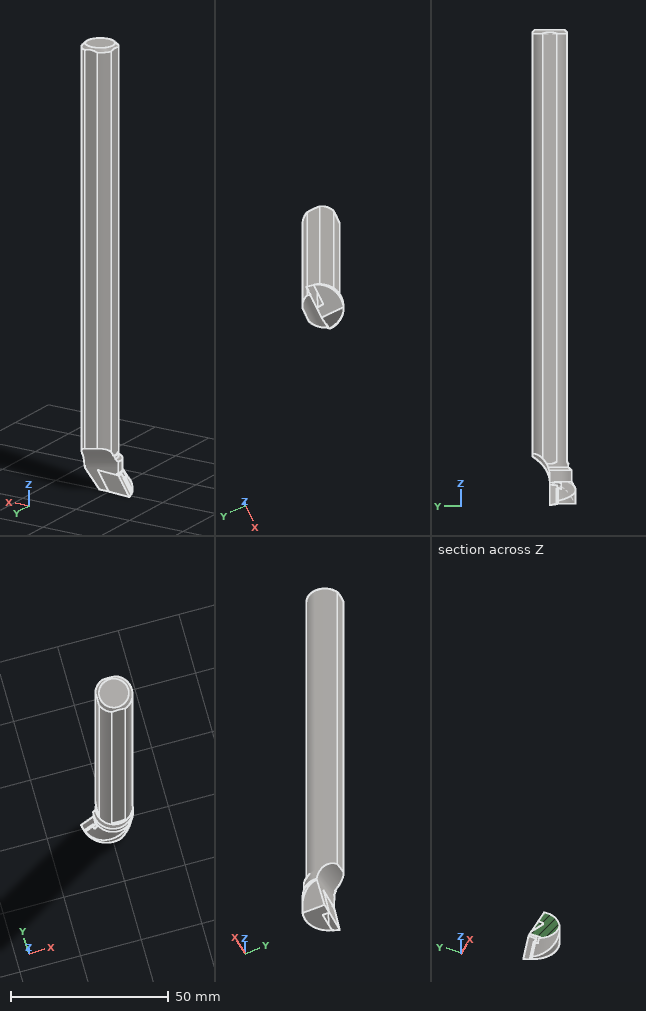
import cadquery as cq
import math

total_length = 151.2
shank_radius = 5.97
flats_across = 11.0
flat_distance = flats_across / 2
end_chamfer = 1.2
collar_bottom = 12.1
flat_end = 13.9
flat_tongue = 0.8

neck_radius = 6.43
neck_center = (shank_radius - neck_radius, -0.6)
neck_top = 11.2
neck_bottom = 7.4
neck_flat_x = -6.8
neck_flat_depth = 2.9

head_bottom = 0.5
flare_radius = 10.6
envelope_diameter = 16.5
envelope_x = -2.4
heel_start = 7.1
heel_end_x = 0.3

gullet_radius = 8.3
gullet_height = 8.0
gullet_tilt = 11.0

tip_x = -10.9
insert_side = 7.7
tip_angle = 55.0
edge_lead = 3.0
insert_thickness = 2.4
clearance_angle = 7.0
pocket_top = 6.4
pocket_clearance = 0.3
corner_hole_diameter = 2.1
corner_hole_depth = 3.6
corner_hole_drop = 0.5

reach = 45.4


def block(x_range, y_range, z_range):
    """Axis-aligned box between the given limits."""
    size = [high - low for low, high in (x_range, y_range, z_range)]
    corner = (x_range[0], y_range[0], z_range[0])
    return cq.Workplane("XY").box(*size, centered=False).translate(corner)


def make_shank():
    """Round bar with flats on its -Y, -X and +Y sides, each rounded at its lower end."""
    bar = cq.Workplane("XY").workplane(offset=collar_bottom).circle(shank_radius)
    bar = bar.extrude(total_length - collar_bottom).faces(">Z").chamfer(end_chamfer)
    half_width = math.sqrt(shank_radius**2 - flat_distance**2)
    flat_tool = (
        cq.Workplane("XZ", origin=(0, -flat_distance, 0))
        .moveTo(-half_width, flat_end)
        .threePointArc((0, flat_end - flat_tongue), (half_width, flat_end))
        .lineTo(half_width, total_length)
        .lineTo(-half_width, total_length)
        .close()
        .extrude(shank_radius)
    )
    for angle in (-180, -90, 0):
        bar = bar.cut(flat_tool.rotate((0, 0, 0), (0, 0, 1), angle))
    return bar


def loft_circles(lower_center, lower_radius, lower_z, upper_center, upper_radius, upper_z):
    """Cone frustum between two horizontal circles."""
    lower = cq.Wire.makeCircle(lower_radius, cq.Vector(*lower_center, lower_z), cq.Vector(0, 0, 1))
    upper = cq.Wire.makeCircle(upper_radius, cq.Vector(*upper_center, upper_z), cq.Vector(0, 0, 1))
    return cq.Workplane("XY").add(cq.Solid.makeLoft([lower, upper], True))


def make_head():
    """Neck and flared head, trimmed by a round envelope and a heel relief."""
    shoulder = loft_circles(neck_center, neck_radius, neck_top, (0, 0), shank_radius, collar_bottom)
    neck = cq.Workplane("XY").workplane(offset=neck_bottom).center(*neck_center)
    neck = neck.circle(neck_radius).extrude(neck_top - neck_bottom)
    flare = loft_circles(neck_center, flare_radius, head_bottom, neck_center, neck_radius, neck_bottom)
    envelope = cq.Workplane("XY").center(envelope_x, 0).circle(envelope_diameter / 2).extrude(neck_bottom)
    flare = flare.intersect(envelope)
    head = shoulder.union(neck).union(flare)
    heel = (
        cq.Workplane("XZ")
        .moveTo(heel_end_x, head_bottom)
        .lineTo(shank_radius, heel_start)
        .lineTo(reach, heel_start)
        .lineTo(reach, head_bottom)
        .close()
        .extrude(reach, both=True)
    )
    neck_flat = block((-reach, neck_flat_x), (-neck_flat_depth, reach), (pocket_top, neck_top))
    return head.cut(heel).cut(neck_flat)


def make_gullet():
    """Tool that opens the rake face and its arc run-out into the shank."""
    tool = (
        cq.Workplane("YZ")
        .moveTo(0, -reach)
        .lineTo(0, 0)
        .threePointArc(
            (gullet_radius * (1 - math.sqrt(0.5)), gullet_radius * math.sqrt(0.5)),
            (gullet_radius, gullet_radius),
        )
        .lineTo(gullet_radius, -reach)
        .close()
        .extrude(reach, both=True)
    )
    tool = tool.rotate((0, 0, 0), (0, 1, 0), gullet_tilt)
    return tool.translate((0, 0, gullet_height))


def along(angle, length):
    """X and Z steps for a length at an angle above the X axis."""
    return length * math.cos(math.radians(angle)), length * math.sin(math.radians(angle))


def make_insert():
    """Rhombic plate tapering away from its rake face at Y = 0."""
    lower_step = along(edge_lead, insert_side)
    side_step = along(edge_lead + tip_angle, insert_side)
    far_corner = (tip_x + lower_step[0] + side_step[0], lower_step[1] + side_step[1])
    return (
        cq.Workplane("XZ")
        .moveTo(tip_x, 0)
        .lineTo(tip_x + lower_step[0], lower_step[1])
        .lineTo(*far_corner)
        .lineTo(tip_x + side_step[0], side_step[1])
        .close()
        .extrude(insert_thickness, taper=clearance_angle)
    )


def make_pocket_relief():
    """Clearance in the holder on the outer side of the insert's side edge."""
    run = along(edge_lead + tip_angle, pocket_top / math.sin(math.radians(edge_lead + tip_angle)))[0]
    inset = insert_thickness * math.tan(math.radians(clearance_angle))
    return (
        cq.Workplane("XZ")
        .moveTo(tip_x + inset, 0)
        .lineTo(tip_x + inset + run, pocket_top)
        .lineTo(-reach, pocket_top)
        .lineTo(-reach, 0)
        .close()
        .extrude(insert_thickness + pocket_clearance)
    )


def make_corner_hole():
    """Round relief at the upper outer corner of the insert pocket."""
    run, rise = along(edge_lead + tip_angle, insert_side)
    hole = cq.Workplane("XZ").center(tip_x + run, rise - corner_hole_drop)
    return hole.circle(corner_hole_diameter / 2).extrude(corner_hole_depth)


insert = make_insert()
holder = make_shank().union(make_head()).cut(make_gullet())
holder = holder.cut(make_pocket_relief()).cut(make_corner_hole()).cut(insert).solids()

result = cq.Compound.makeCompound([holder.val(), insert.val()])